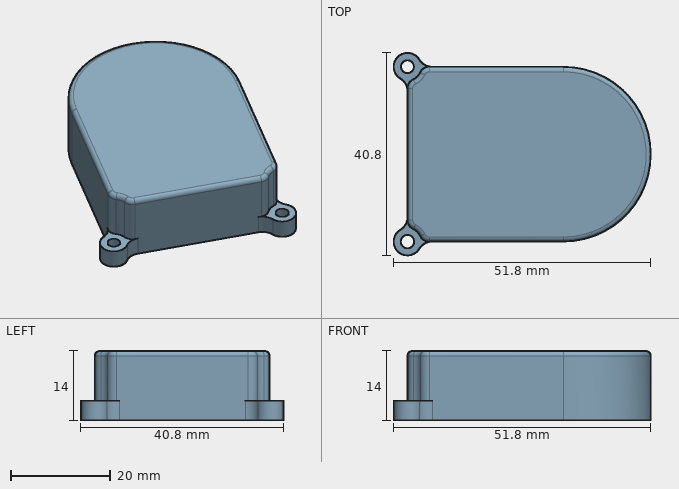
import cadquery as cq
import math

total_length = 51.8
total_height = 14.0

housing_width = 35.2
end_radius = housing_width / 2
top_fillet = 1.0

lug_radius = 2.8
lug_height = 4.0
lug_blend = 3.0
relief_blend = 2.0
back_hole_diameter = 2.55
front_hole_diameter = 2.65

end_center_x = total_length - lug_radius - end_radius


def make_housing():
    """D-shaped block with relieved corners and a rounded top edge."""
    block = (
        cq.Workplane("XY")
        .moveTo(0, -end_radius)
        .lineTo(end_center_x, -end_radius)
        .threePointArc((end_center_x + end_radius, 0), (end_center_x, end_radius))
        .lineTo(0, end_radius)
        .close()
        .extrude(total_height)
    )
    corners = [(0, -end_radius), (0, end_radius)]
    reliefs = cq.Workplane("XY").pushPoints(corners).circle(lug_radius).extrude(total_height)
    block = block.cut(reliefs)

    relief_edges = block.edges("|Z").edges(cq.selectors.BoxSelector(
        (-lug_radius / 2, -housing_width, 0),
        (1.5 * lug_radius, housing_width, total_height),
    ))
    block = relief_edges.fillet(relief_blend)
    return block.faces(">Z").edges().fillet(top_fillet)


def make_front_lug():
    """Lug on the -Y corner, blended tangentially into both walls."""
    blend_end = math.sqrt((lug_radius + lug_blend) ** 2 - lug_blend ** 2)
    touch_ratio = lug_radius / (lug_radius + lug_blend)
    touch_along = touch_ratio * blend_end
    touch_out = touch_ratio * lug_blend

    half_angle = math.atan2(blend_end, lug_blend) / 2
    mid_along = blend_end - lug_blend * math.sin(half_angle)
    mid_out = lug_blend * (1 - math.cos(half_angle))
    lug_mid = -lug_radius / math.sqrt(2)

    return (
        cq.Workplane("XY", origin=(0, -end_radius, 0))
        .moveTo(blend_end, 0)
        .threePointArc((mid_along, -mid_out), (touch_along, -touch_out))
        .threePointArc((lug_mid, lug_mid), (-touch_out, touch_along))
        .threePointArc((-mid_out, mid_along), (0, blend_end))
        .lineTo(blend_end, blend_end)
        .close()
        .extrude(lug_height)
    )


def make_hole(y, diameter):
    """Cutter for a screw hole through a lug."""
    return cq.Workplane("XY").center(0, y).circle(diameter / 2).extrude(lug_height)


front_lug = make_front_lug()
back_lug = front_lug.mirror("XZ")

result = (
    make_housing()
    .union(front_lug)
    .union(back_lug)
    .cut(make_hole(-end_radius, front_hole_diameter))
    .cut(make_hole(end_radius, back_hole_diameter))
)